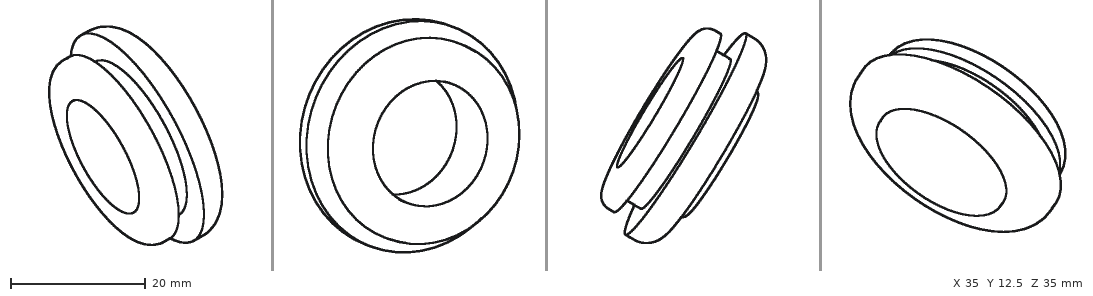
import cadquery as cq

front_flange_radius = 15.5
front_flange_length = 3.0
front_flange_fillet = 2.0

groove_radius = 13.02
groove_length = 3.2

main_flange_radius = 17.5
main_flange_length = 5.0
main_flange_fillet = 3.5

cap_radius = 11.0
cap_length = 1.3
cap_fillet = 0.63

bore_radius = 9.5
floor_thickness = 1.82

groove_start = front_flange_length
main_flange_start = groove_start + groove_length
cap_start = main_flange_start + main_flange_length
total_length = cap_start + cap_length
bore_depth = total_length - floor_thickness


def disc(radius, start, length):
    """Solid disc about the Y axis, reaching from start towards +Y."""
    plane = cq.Workplane("XZ", origin=(0, start, 0))
    return plane.circle(radius).extrude(-length)


front_flange = disc(front_flange_radius, 0, front_flange_length).faces("<Y").edges().fillet(front_flange_fillet)
groove = disc(groove_radius, groove_start, groove_length)
main_flange = (
    disc(main_flange_radius, main_flange_start, main_flange_length)
    .faces(">Y").edges().fillet(main_flange_fillet)
)
cap = disc(cap_radius, cap_start, cap_length).faces(">Y").edges().fillet(cap_fillet)

bore = disc(bore_radius, 0, bore_depth)

result = front_flange.union(groove).union(main_flange).union(cap).cut(bore)